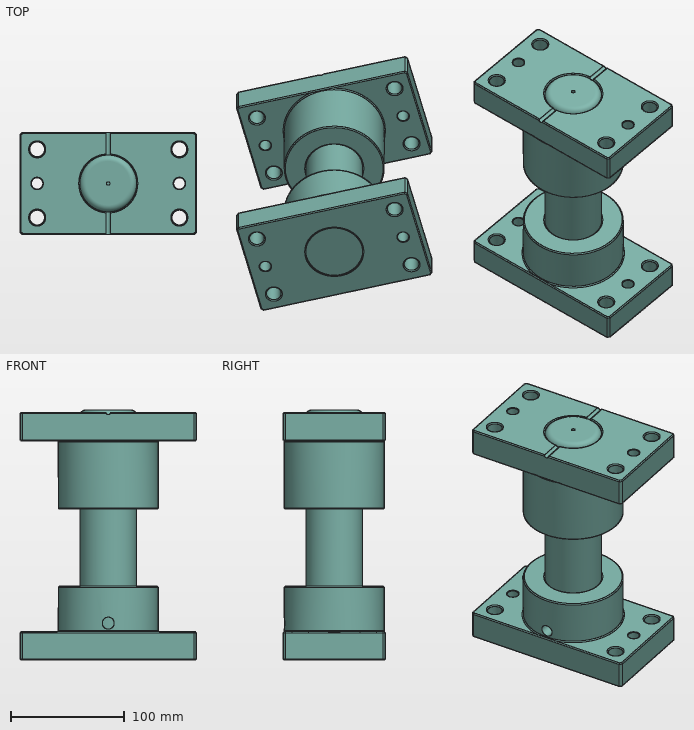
import cadquery as cq
import math

TOTAL_HEIGHT = 220.0
PIN_STANDOUT = 2.3
UPPER_PLATE_TOP = TOTAL_HEIGHT - PIN_STANDOUT

PLATE_LENGTH = 155.0
PLATE_WIDTH = 90.0
PLATE_THICKNESS = 25.0
PLATE_EDGE_CHAMFER = 1.0
PLATE_CORNER_CHAMFER = 2.0

COLLAR_RADIUS = 44.0
LOWER_COLLAR_HEIGHT = 40.0
UPPER_COLLAR_HEIGHT = 60.0
COLLAR_RIM_CHAMFER = 1.0
COLLAR_FOOT_FILLET = 1.0

PIN_RADIUS = 25.0
PIN_TOP_FILLET = 5.5
PIN_CENTER_HOLE_DIAMETER = 3.0
PIN_CENTER_HOLE_DEPTH = 5.0
BORE_CHAMFER = 1.0

HOLE_SPACING_X = 125.0
BOLT_SPACING_Y = 60.0
BOLT_HOLE_RADIUS = 6.5
BOLT_HOLE_CHAMFER = 1.0
DOWEL_HOLE_RADIUS = 5.0
DOWEL_HOLE_CHAMFER = 0.5

GROOVE_RADIUS = 2.0
RADIAL_HOLE_DIAMETER = 10.5
RADIAL_HOLE_ABOVE_PLATE = 7.5


def chamfered_hole_cutter(radius, chamfer, depth):
    """Round cutter from Z = 0 to Z = depth that also chamfers both mouths."""
    mouth = radius + chamfer
    return (
        cq.Workplane("XZ")
        .moveTo(0, 0)
        .lineTo(mouth, 0)
        .lineTo(radius, chamfer)
        .lineTo(radius, depth - chamfer)
        .lineTo(mouth, depth)
        .lineTo(0, depth)
        .close()
        .revolve(360, (0, 0, 0), (0, 1, 0))
    )


def make_plate():
    """Chamfered rectangular plate with its bolt and dowel holes, bottom at Z = 0."""
    plate = (
        cq.Workplane("XY")
        .box(PLATE_LENGTH, PLATE_WIDTH, PLATE_THICKNESS, centered=(True, True, False))
        .edges("|Z")
        .chamfer(PLATE_CORNER_CHAMFER)
        .faces("<Z or >Z")
        .edges()
        .chamfer(PLATE_EDGE_CHAMFER)
    )
    bolt_cutter = chamfered_hole_cutter(BOLT_HOLE_RADIUS, BOLT_HOLE_CHAMFER, PLATE_THICKNESS)
    dowel_cutter = chamfered_hole_cutter(DOWEL_HOLE_RADIUS, DOWEL_HOLE_CHAMFER, PLATE_THICKNESS)
    for side in (-1, 1):
        x = side * HOLE_SPACING_X / 2
        plate = plate.cut(dowel_cutter.translate((x, 0, 0)))
        for end in (-1, 1):
            plate = plate.cut(bolt_cutter.translate((x, end * BOLT_SPACING_Y / 2, 0)))
    return plate


def make_collar(height):
    """Solid collar standing on the plate, with a chamfered rim and a filleted foot."""
    foot_top = PLATE_THICKNESS + COLLAR_FOOT_FILLET
    foot_radius = COLLAR_RADIUS + COLLAR_FOOT_FILLET
    arc_offset = COLLAR_FOOT_FILLET * (1 - math.sqrt(0.5))
    rim = PLATE_THICKNESS + height
    collar = (
        cq.Workplane("XZ")
        .moveTo(0, PLATE_THICKNESS)
        .lineTo(foot_radius, PLATE_THICKNESS)
        .threePointArc(
            (COLLAR_RADIUS + arc_offset, PLATE_THICKNESS + arc_offset),
            (COLLAR_RADIUS, foot_top),
        )
        .lineTo(COLLAR_RADIUS, rim - COLLAR_RIM_CHAMFER)
        .lineTo(COLLAR_RADIUS - COLLAR_RIM_CHAMFER, rim)
        .lineTo(0, rim)
        .close()
        .revolve(360, (0, 0, 0), (0, 1, 0))
    )
    flat_width = PLATE_WIDTH - 2 * PLATE_EDGE_CHAMFER
    limits = cq.Workplane("XY").box(PLATE_LENGTH, flat_width, rim, centered=(True, True, False))
    return collar.intersect(limits)


def make_flange(collar_height):
    """Plate and collar in one piece, bored through for the pin."""
    depth = PLATE_THICKNESS + collar_height
    bore = chamfered_hole_cutter(PIN_RADIUS, BORE_CHAMFER, depth)
    return make_plate().union(make_collar(collar_height)).cut(bore)


def make_lower_holder():
    """Lower flange with a radial hole from the -Y side into the pin bore."""
    radial_hole = (
        cq.Workplane("XZ")
        .center(0, PLATE_THICKNESS + RADIAL_HOLE_ABOVE_PLATE)
        .circle(RADIAL_HOLE_DIAMETER / 2)
        .extrude(PLATE_WIDTH / 2)
    )
    return make_flange(LOWER_COLLAR_HEIGHT).cut(radial_hole)


def make_upper_holder():
    """Flange turned upside down, with a half-round groove across its top face."""
    flange = (
        make_flange(UPPER_COLLAR_HEIGHT)
        .rotate((0, 0, 0), (1, 0, 0), 180)
        .translate((0, 0, UPPER_PLATE_TOP))
    )
    groove = (
        cq.Workplane("XZ")
        .moveTo(-GROOVE_RADIUS, UPPER_PLATE_TOP)
        .threePointArc((0, UPPER_PLATE_TOP - GROOVE_RADIUS), (GROOVE_RADIUS, UPPER_PLATE_TOP))
        .close()
        .extrude(PLATE_WIDTH / 2, both=True)
    )
    return flange.cut(groove)


def make_pin():
    """Pin through both holders, with a rounded top and a small center hole."""
    return (
        cq.Workplane("XY")
        .circle(PIN_RADIUS)
        .extrude(TOTAL_HEIGHT)
        .faces(">Z")
        .edges()
        .fillet(PIN_TOP_FILLET)
        .faces(">Z")
        .workplane()
        .hole(PIN_CENTER_HOLE_DIAMETER, PIN_CENTER_HOLE_DEPTH)
    )


lower_holder = make_lower_holder().solids()
upper_holder = make_upper_holder().solids()
pin = make_pin().solids()

result = cq.Compound.makeCompound([lower_holder.val(), upper_holder.val(), pin.val()])